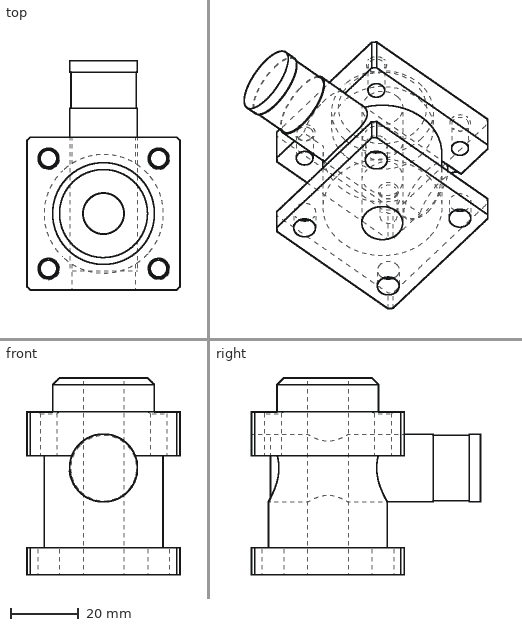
import cadquery as cq

plate_side = 45.0
corner_chamfer = 1.0
base_thickness = 8.0
top_plate_thickness = 12.95

barrel_diameter = 35.0
barrel_length = 27.0
collar_diameter = 30.0
collar_height = 10.0
collar_chamfer = 2.0
bore_diameter = 12.0

bolt_spacing = 32.4
base_hole_diameter = 6.4
top_hole_diameter = 4.9
top_hole_mouth_diameter = 6.0
top_hole_chamfer = (top_hole_mouth_diameter - top_hole_diameter) / 2

pipe_diameter = 20.0
pipe_neck_diameter = 19.3
pipe_axis_z = 31.45
pipe_inner_end_y = -16.9
pipe_outer_end_y = 67.5 - plate_side / 2
neck_start_y = 31.0
rim_width = 3.4
neck_end_y = pipe_outer_end_y - rim_width

top_plate_bottom_z = base_thickness + barrel_length
top_plate_top_z = top_plate_bottom_z + top_plate_thickness
total_height = top_plate_top_z + collar_height


def vertical_cylinder(diameter, bottom_z, top_z):
    """Cylinder on the Z axis between two levels."""
    return cq.Workplane("XY", origin=(0, 0, bottom_z)).circle(diameter / 2).extrude(top_z - bottom_z)


def pipe_cylinder(diameter, start_y, end_y):
    """Cylinder on the pipe axis between two positions along Y."""
    return cq.Workplane("XZ", origin=(0, start_y, pipe_axis_z)).circle(diameter / 2).extrude(start_y - end_y)


def square_plate(bottom_z, thickness, hole_diameter):
    """Plate with chamfered upright corners and four bolt holes."""
    plate = (
        cq.Workplane("XY", origin=(0, 0, bottom_z))
        .rect(plate_side, plate_side)
        .extrude(thickness)
        .edges("|Z")
        .chamfer(corner_chamfer)
    )
    return (
        plate.faces(">Z")
        .workplane()
        .rect(bolt_spacing, bolt_spacing, forConstruction=True)
        .vertices()
        .hole(hole_diameter)
    )


def make_top_plate():
    """Upper plate, with the mouths of its bolt holes chamfered."""
    plate = square_plate(top_plate_bottom_z, top_plate_thickness, top_hole_diameter)
    return plate.faces(">Z").edges("%CIRCLE").chamfer(top_hole_chamfer)


def make_collar():
    """Round collar on the upper plate, chamfered at its top."""
    collar = vertical_cylinder(collar_diameter, top_plate_top_z, total_height)
    return collar.faces(">Z").chamfer(collar_chamfer)


def make_bore():
    """Through bore on the Z axis, shared by the housing and the pipe."""
    return vertical_cylinder(bore_diameter, 0, total_height)


def make_housing():
    """Flanged housing with a cross hole that receives the pipe."""
    base_plate = square_plate(0, base_thickness, base_hole_diameter)
    barrel = vertical_cylinder(barrel_diameter, base_thickness, top_plate_bottom_z)
    cross_hole = pipe_cylinder(pipe_diameter, -plate_side / 2, plate_side / 2)
    body = base_plate.union(barrel).union(make_top_plate()).union(make_collar())
    return body.cut(cross_hole).cut(make_bore())


def make_pipe():
    """Stepped cross pipe with a narrower neck and a rim at its outer end."""
    body = pipe_cylinder(pipe_diameter, pipe_inner_end_y, neck_start_y)
    neck = pipe_cylinder(pipe_neck_diameter, neck_start_y, neck_end_y)
    rim = pipe_cylinder(pipe_diameter, neck_end_y, pipe_outer_end_y)
    return body.union(neck).union(rim).cut(make_bore())


housing = make_housing()
pipe = make_pipe()

result = cq.Compound.makeCompound([housing.solids().val(), pipe.solids().val()])